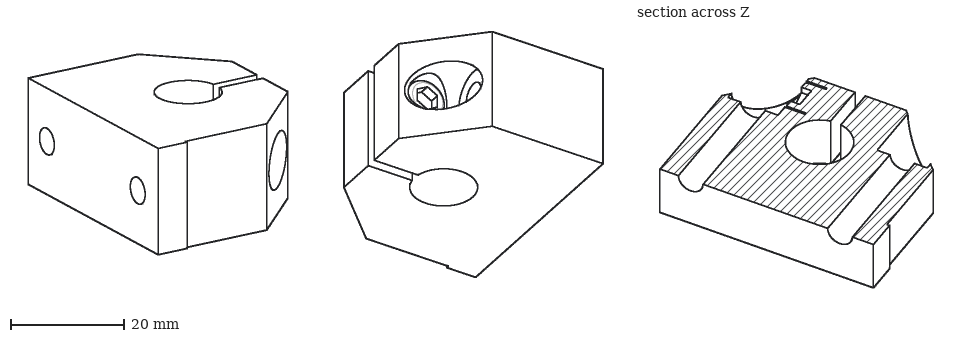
import cadquery as cq

total_width = 43.0
depth = 35.0
height = 20.0
pad_thickness = 0.5
pad_depth = 6.0
corner_cut = 12.0

bore_diameter = 12.0
bore_y = 20.0
slit_width = 2.0

mount_spacing = 30.0
mount_diameter = 4.9
mount_recess_diameter = 10.0

screw_from_back = 5.5
screw_recess_diameter = 8.0
head_diameter = 7.5
head_length = 4.0
head_rounding = 0.6
socket_across_corners = 4.77
socket_depth = 1.98

body_width = total_width - pad_thickness
center_x = body_width / 2
mid_z = height / 2
screw_y = depth - screw_from_back
shoulder_y = depth - corner_cut
mount_xs = [center_x - mount_spacing / 2, center_x + mount_spacing / 2]

head_face_x = mount_xs[0] + mount_recess_diameter / 2
head_seat_x = head_face_x + head_length


def cylinder_along_x(diameter, x_start, x_end, y):
    return (
        cq.Workplane("YZ", origin=(x_start, y, mid_z))
        .circle(diameter / 2)
        .extrude(x_end - x_start)
    )


def cylinder_along_y(diameter, y_start, y_end, x):
    return (
        cq.Workplane("XZ", origin=(x, y_start, mid_z))
        .circle(diameter / 2)
        .extrude(y_start - y_end)
    )


def make_block():
    outline = [
        (0, 0),
        (total_width, 0),
        (total_width, pad_depth),
        (body_width, pad_depth),
        (body_width, shoulder_y),
        (body_width - corner_cut, depth),
        (corner_cut, depth),
        (0, shoulder_y),
    ]
    return cq.Workplane("XY").polyline(outline).close().extrude(height)


def make_bore_and_slit():
    bore = cq.Workplane("XY").center(center_x, bore_y).circle(bore_diameter / 2).extrude(height)
    slit_length = depth - bore_y
    slit = (
        cq.Workplane("XY")
        .center(center_x, bore_y + slit_length / 2)
        .rect(slit_width, slit_length)
        .extrude(height)
    )
    return bore.union(slit)


def make_mounting_hole(x):
    """Through hole along Y with a recess sunk from the corner cut to the shoulder."""
    hole = cylinder_along_y(mount_diameter, 0, depth, x)
    recess = cylinder_along_y(mount_recess_diameter, shoulder_y, depth, x)
    return hole.union(recess)


def make_screw_head():
    """Cap screw head facing -X, with a hexagon socket whose corners point up and down."""
    head = (
        cylinder_along_x(head_diameter, head_face_x, head_seat_x, screw_y)
        .faces("<X")
        .edges()
        .fillet(head_rounding)
    )
    socket = (
        cq.Workplane("YZ", origin=(head_face_x, screw_y, mid_z))
        .transformed(rotate=(0, 0, 90))
        .polygon(6, socket_across_corners)
        .extrude(socket_depth)
    )
    return head.cut(socket)


block = make_block().cut(make_bore_and_slit())
for mount_x in mount_xs:
    block = block.cut(make_mounting_hole(mount_x))
block = block.cut(cylinder_along_x(screw_recess_diameter, 0, head_seat_x, screw_y))

result = block.union(make_screw_head())